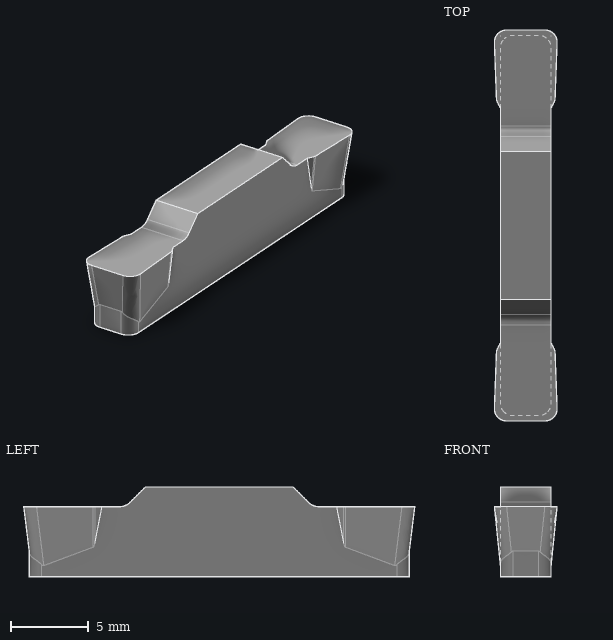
import cadquery as cq
import math

LENGTH = 25.2
HEAD_WIDTH = 4.05
BODY_WIDTH = 3.27
BODY_LENGTH = 24.48
HEIGHT = 5.8
LEDGE_HEIGHT = 4.53

RIDGE_LENGTH = 9.52
SLOPE_FILLET = 0.95

CORNER_RADIUS = 0.8
TAPER_ANGLE = 2.1
FLANK_DRAFT = 5.6
END_DRAFT = 7.0
SHOULDER_Y = 8.05
SHOULDER_RUN = 0.5
SHOULDER_FILLET = 0.25


def make_body():
    """Straight-sided bar with rounded vertical corners and a raised middle."""
    end_y = BODY_LENGTH / 2
    ridge_y = RIDGE_LENGTH / 2
    slope_foot_y = ridge_y + HEIGHT - LEDGE_HEIGHT
    profile = [
        (-end_y, 0),
        (end_y, 0),
        (end_y, LEDGE_HEIGHT),
        (slope_foot_y, LEDGE_HEIGHT),
        (ridge_y, HEIGHT),
        (-ridge_y, HEIGHT),
        (-slope_foot_y, LEDGE_HEIGHT),
        (-end_y, LEDGE_HEIGHT),
    ]
    body = cq.Workplane("YZ").polyline(profile).close().extrude(BODY_WIDTH / 2, both=True)
    body = body.edges("|Z").fillet(CORNER_RADIUS)
    for side in (-1, 1):
        foot = cq.selectors.NearestToPointSelector((0, side * slope_foot_y, LEDGE_HEIGHT))
        body = body.edges(foot).fillet(SLOPE_FILLET)
    return body


def make_head():
    """Drafted head at the +Y end, narrowing towards the middle and downwards."""
    taper = math.radians(TAPER_ANGLE)
    end_y = LENGTH / 2
    corner_x = HEAD_WIDTH / 2 + CORNER_RADIUS * (1 / math.cos(taper) - 1 + math.tan(taper))
    shoulder_x = corner_x - (end_y - SHOULDER_Y) * math.tan(taper)
    root_x = shoulder_x - 2 * (shoulder_x - BODY_WIDTH / 2)
    root_y = SHOULDER_Y - 2 * SHOULDER_RUN

    flank_inset = LEDGE_HEIGHT * math.tan(math.radians(FLANK_DRAFT))
    end_inset = LEDGE_HEIGHT * math.tan(math.radians(END_DRAFT))

    def section(z, inset_x, inset_y):
        right_side = [
            (root_x - inset_x, root_y),
            (shoulder_x - inset_x, SHOULDER_Y),
            (corner_x - inset_x - inset_y * math.tan(taper), end_y - inset_y),
        ]
        left_side = [(-x, y) for x, y in reversed(right_side)]
        return cq.Wire.makePolygon([cq.Vector(x, y, z) for x, y in right_side + left_side], close=True)

    bottom = section(0, flank_inset, end_inset)
    top = section(LEDGE_HEIGHT, 0, 0)
    head = cq.Workplane(cq.Solid.makeLoft([bottom, top], True))

    mid_z = LEDGE_HEIGHT / 2
    for side in (-1, 1):
        corner = (side * (corner_x - flank_inset / 2), end_y - end_inset / 2, mid_z)
        head = head.edges(cq.selectors.NearestToPointSelector(corner)).fillet(CORNER_RADIUS)
        shoulder = (side * (shoulder_x - flank_inset / 2), SHOULDER_Y, mid_z)
        head = head.edges(cq.selectors.NearestToPointSelector(shoulder)).fillet(SHOULDER_FILLET)
    return head


head = make_head()
result = make_body().union(head).union(head.mirror("XZ")).clean()